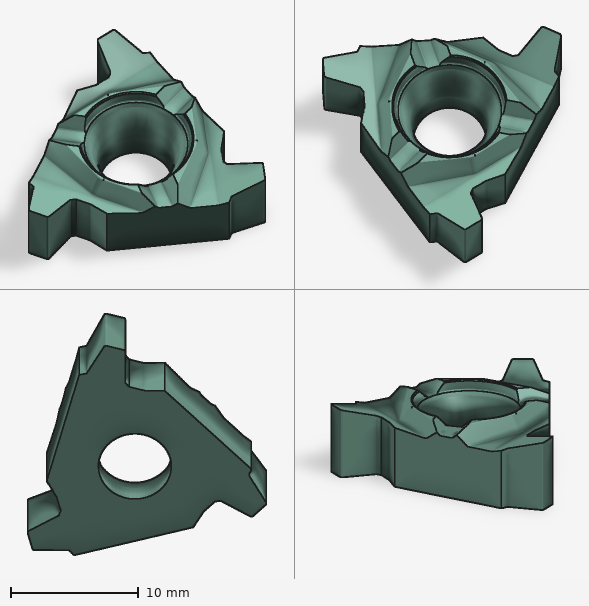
import cadquery as cq
import math

TOOTH_COUNT = 3
TOTAL_HEIGHT = 5.84
FLAT_DISTANCE = 6.33
FLAT_SLOPE = 30
TOOTH_ANGLES = [360 / TOOTH_COUNT * i for i in range(TOOTH_COUNT)]
REACH = 13.14
CLEARANCE = 0.38
PICK_MARGIN = 0.02

TOOTH_CENTER_X = -4.22
TOOTH_TIP_Y = -9.61
TOOTH_ROOT_Y = -6.85
TOOTH_ROOT_HALF_WIDTH = 1.58
TOOTH_FLANK_ANGLE = 15
TIP_RADIUS = 0.2
ROOT_RADIUS = 0.11
FLAT_END_Y = -6.59
HEEL_Y = -6.6
HEEL_START_X = -2.27
HEEL_END_X = -1.05
HEEL_RADIUS = 0.28
HEEL_CORNER_X = 0.5

FLOOR_Z = 4.6
RAKE_START_Y = -5.72
RAKE_ANGLE = 15
RAKE_BLEND_RADIUS = 0.38
WALL_CORNER_FOOT = (-1.28, -5.57)
WALL_CORNER_TOP = (-1.03, -4.71)
WALL_FOOT_Y_AT_FLAT = -3.53
WALL_TOP_Y_AT_FLAT = -1.95
WALL_FOOT_RADIUS = 1.5
WALL_TOP_RADIUS = 1.13
WALL_FOOT_BLEND = 0.11
WALL_CREST_BLEND = 0.1

CHANNEL_DIRECTION = 194
CHANNEL_FLOOR_Z = 5.05
CHANNEL_FLOOR_WIDTH = 1.05
CHANNEL_FLANK_ANGLE = 40
CHANNEL_FLOOR_RADIUS = 0.23

BORE_RADIUS = 5.7 / 2
BELL_START_Z = 1.95
BELL_RADIUS = 3.87
BELL_END_Z = 4.71
LEDGE_RADIUS = 4.05
RECESS_FOOT_RADIUS = 4.25
RECESS_FOOT_Z = 5.18
RECESS_FOOT_SAGITTA = -0.04
RECESS_WALL_RADIUS = 4.41
RECESS_RIM_RADIUS = 4.52
RECESS_RIM_DROP = 0.1


def turned(point, angle):
    """Turn a plan point about the bore axis by an angle in degrees."""
    x, y = point
    c = math.cos(math.radians(angle))
    s = math.sin(math.radians(angle))
    return (x * c - y * s, x * s + y * c)


def blank():
    """Flat-topped prism with the outline of the insert."""
    taper = (TOOTH_ROOT_Y - TOOTH_TIP_Y) * math.tan(math.radians(TOOTH_FLANK_ANGLE))
    tip_half_width = TOOTH_ROOT_HALF_WIDTH - taper
    flat_slope = math.radians(FLAT_SLOPE)
    heel_corner_y = (HEEL_CORNER_X * math.sin(flat_slope) - FLAT_DISTANCE) / math.cos(flat_slope)
    roots = [(TOOTH_CENTER_X + side * TOOTH_ROOT_HALF_WIDTH, TOOTH_ROOT_Y) for side in (-1, 1)]
    tips = [(TOOTH_CENTER_X + side * tip_half_width, TOOTH_TIP_Y) for side in (-1, 1)]
    tooth = [
        (-FLAT_DISTANCE, FLAT_END_Y),
        roots[0],
        tips[0],
        tips[1],
        roots[1],
        (HEEL_START_X, HEEL_Y),
        (HEEL_END_X, HEEL_Y),
        (HEEL_CORNER_X, heel_corner_y),
    ]
    outline = [turned(point, angle) for angle in TOOTH_ANGLES for point in tooth]
    solid = cq.Workplane("XY").polyline(outline).close().extrude(TOTAL_HEIGHT)
    rounded = [(tips, TIP_RADIUS), (roots, ROOT_RADIUS), ([(HEEL_END_X, HEEL_Y)], HEEL_RADIUS)]
    for corners, radius in rounded:
        for angle in TOOTH_ANGLES:
            for corner in corners:
                x, y = turned(corner, angle)
                edge = cq.selectors.NearestToPointSelector((x, y, TOTAL_HEIGHT / 2))
                solid = solid.edges(edge).fillet(radius)
    return solid


def wall_wire(height, blend):
    """Plan section of the space outside the wall; blend runs from 0 at the foot to 1 at the top."""
    def between(foot, top):
        return foot + (top - foot) * blend

    corner_x = between(WALL_CORNER_FOOT[0], WALL_CORNER_TOP[0])
    corner_y = between(WALL_CORNER_FOOT[1], WALL_CORNER_TOP[1])
    flat_y = between(WALL_FOOT_Y_AT_FLAT, WALL_TOP_Y_AT_FLAT)
    slope = (flat_y - corner_y) / (-FLAT_DISTANCE - corner_x)
    points = [
        (corner_x, corner_y),
        (REACH, corner_y),
        (REACH, -REACH),
        (-REACH, -REACH),
        (-REACH, corner_y + slope * (-REACH - corner_x)),
    ]
    wire = cq.Wire.makePolygon([cq.Vector(x, y, height) for x, y in points], close=True)
    corner = min(wire.Vertices(), key=lambda v: math.hypot(v.X - corner_x, v.Y - corner_y))
    return wire.fillet2D(between(WALL_FOOT_RADIUS, WALL_TOP_RADIUS), [corner])


def chip_pocket():
    """Space above the chip floor and rake face, outside the wall."""
    clear_z = TOTAL_HEIGHT + CLEARANCE
    blend = (clear_z - FLOOR_Z) / (TOTAL_HEIGHT - FLOOR_Z)
    outside_wall = cq.Solid.makeLoft([wall_wire(FLOOR_Z, 0), wall_wire(clear_z, blend)], True)

    rake_rise = (REACH + RAKE_START_Y) * math.tan(math.radians(RAKE_ANGLE))
    above_faces = (
        cq.Workplane("YZ", origin=(-REACH, 0, 0))
        .moveTo(0, FLOOR_Z)
        .lineTo(RAKE_START_Y, FLOOR_Z)
        .lineTo(-REACH, FLOOR_Z + rake_rise)
        .lineTo(-REACH, REACH)
        .lineTo(0, REACH)
        .close()
        .extrude(2 * REACH)
    )
    rake_edge = cq.selectors.NearestToPointSelector((0, RAKE_START_Y, FLOOR_Z))
    above_faces = above_faces.edges(rake_edge).fillet(RAKE_BLEND_RADIUS)
    pocket = above_faces.intersect(cq.Workplane(outside_wall))
    wall_foot = cq.selectors.BoxSelector(
        (-2 * REACH, WALL_CORNER_FOOT[1] - PICK_MARGIN, FLOOR_Z - PICK_MARGIN),
        (2 * REACH, REACH, FLOOR_Z + PICK_MARGIN),
        boundingbox=True,
    )
    return pocket.edges(wall_foot).fillet(WALL_FOOT_BLEND)


def bore_and_recess():
    """Bore with a curved bell mouth, a narrow ledge and a shallow tapered recess."""
    return (
        cq.Workplane("XZ")
        .moveTo(0, 0)
        .lineTo(BORE_RADIUS, 0)
        .lineTo(BORE_RADIUS, BELL_START_Z)
        .tangentArcPoint((BELL_RADIUS, BELL_END_Z), relative=False)
        .lineTo(LEDGE_RADIUS, CHANNEL_FLOOR_Z)
        .sagittaArc((RECESS_FOOT_RADIUS, RECESS_FOOT_Z), RECESS_FOOT_SAGITTA)
        .lineTo(RECESS_WALL_RADIUS, TOTAL_HEIGHT - RECESS_RIM_DROP)
        .lineTo(RECESS_RIM_RADIUS, TOTAL_HEIGHT)
        .lineTo(0, TOTAL_HEIGHT)
        .close()
        .revolve(360, (0, 0), (0, 1))
    )


def channel():
    """Radial channel with sloping flanks and rounded floor corners."""
    depth = TOTAL_HEIGHT - CHANNEL_FLOOR_Z
    half_floor = CHANNEL_FLOOR_WIDTH / 2
    half_top = half_floor + depth / math.tan(math.radians(CHANNEL_FLANK_ANGLE))
    return (
        cq.Workplane("YZ")
        .polyline([
            (-half_floor, CHANNEL_FLOOR_Z),
            (half_floor, CHANNEL_FLOOR_Z),
            (half_top, TOTAL_HEIGHT),
            (-half_top, TOTAL_HEIGHT),
        ])
        .close()
        .extrude(REACH)
        .edges("|X and <Z")
        .fillet(CHANNEL_FLOOR_RADIUS)
        .rotate((0, 0, 0), (0, 0, 1), CHANNEL_DIRECTION)
    )


def with_each_tooth_cut(solid, cutter):
    """Cut the same shape at every tooth position."""
    for angle in TOOTH_ANGLES:
        solid = solid.cut(cutter.rotate((0, 0, 0), (0, 0, 1), angle))
    return solid


def with_rounded_crest(solid):
    """Round the top edges of the walls; the edges along the side flats stay sharp."""
    crest = solid.faces(">Z").edges().filter(
        lambda edge: math.hypot(edge.Center().x, edge.Center().y) < FLAT_DISTANCE - PICK_MARGIN
    )
    return crest.fillet(WALL_CREST_BLEND)


result = with_each_tooth_cut(blank(), chip_pocket())
result = with_rounded_crest(result)
result = with_each_tooth_cut(result, channel())
result = result.cut(bore_and_recess())